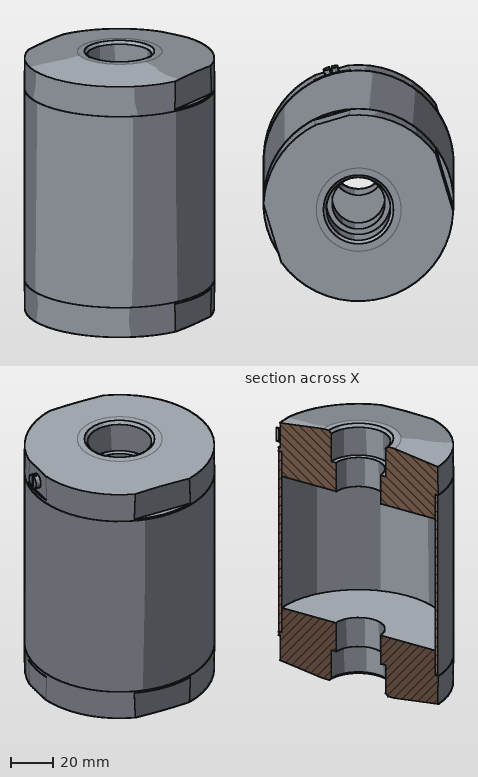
import cadquery as cq

total_height = 130.9
barrel_diameter = 89.8
barrel_bore_diameter = 86.0

cap_height = 18.0
cap_crown_height = 3.3
cap_seam_diameter = 90.0
cap_rim_diameter = 89.7
cap_face_diameter = 40.0
spigot_length = 13.1
cap_bore_diameter = 25.0
counterbore_diameter = 30.2
counterbore_depth = 16.0
counterbore_chamfer = 1.5

wrench_flat_distance = 42.4
wrench_flat_seam_gap = 0.9
screw_flat_distance = 44.1
screw_flat_seam_gap = 1.8

screw_head_diameter = 7.0
screw_tip_distance = 46.6
screw_drop = 10.1
slot_width = 1.0
slot_depth = 1.6

half_height = total_height / 2
seam_z = half_height - cap_height
cap_radius = cap_seam_diameter / 2


def make_barrel():
    """Open tube between the two caps, which plug its ends."""
    return (
        cq.Workplane("XY")
        .workplane(offset=-seam_z)
        .circle(barrel_diameter / 2)
        .circle(barrel_bore_diameter / 2)
        .extrude(2 * seam_z)
    )


def make_flat_cutter(distance, seam_gap):
    """Block that removes everything beyond +X = distance, above the seam gap."""
    return cq.Workplane("XY").box(
        cap_radius, cap_seam_diameter, cap_height, centered=(False, True, False)
    ).translate((distance, 0, seam_z + seam_gap))


def make_top_cap():
    """Slightly tapered cap with a conical crown, chamfered counterbore, three flats and a spigot."""
    rim_z = half_height - cap_crown_height
    counterbore_radius = counterbore_diameter / 2
    floor_z = half_height - counterbore_depth
    spigot_radius = barrel_bore_diameter / 2
    spigot_z = seam_z - spigot_length
    profile = [
        (cap_bore_diameter / 2, spigot_z),
        (spigot_radius, spigot_z),
        (spigot_radius, seam_z),
        (cap_radius, seam_z),
        (cap_rim_diameter / 2, rim_z),
        (cap_face_diameter / 2, half_height),
        (counterbore_radius + counterbore_chamfer, half_height),
        (counterbore_radius, half_height - counterbore_chamfer),
        (counterbore_radius, floor_z),
        (cap_bore_diameter / 2, floor_z),
    ]
    cap = cq.Workplane("XZ").polyline(profile).close().revolve(360, (0, 0, 0), (0, 1, 0))

    wrench_cutter = make_flat_cutter(wrench_flat_distance, wrench_flat_seam_gap)
    for angle in (0, 180):
        cap = cap.cut(wrench_cutter.rotate((0, 0, 0), (0, 0, 1), angle))

    screw_cutter = make_flat_cutter(screw_flat_distance, screw_flat_seam_gap)
    return cap.cut(screw_cutter.rotate((0, 0, 0), (0, 0, 1), 90))


def make_screw():
    """Round head resting on the +Y flat, with a driver slot running along Z."""
    screw_z = half_height - screw_drop
    head_height = screw_tip_distance - screw_flat_distance
    head = (
        cq.Workplane("XZ", origin=(0, screw_tip_distance, screw_z))
        .circle(screw_head_diameter / 2)
        .extrude(head_height)
    )
    slot = cq.Workplane("XY").box(slot_width, 2 * slot_depth, screw_head_diameter)
    return head.cut(slot.translate((0, screw_tip_distance, screw_z)))


barrel = make_barrel()
top_cap = make_top_cap()
caps = [top_cap, top_cap.mirror("XY")]
screw = make_screw()

result = cq.Compound.makeCompound([barrel.val(), *[cap.val() for cap in caps], screw.val()])